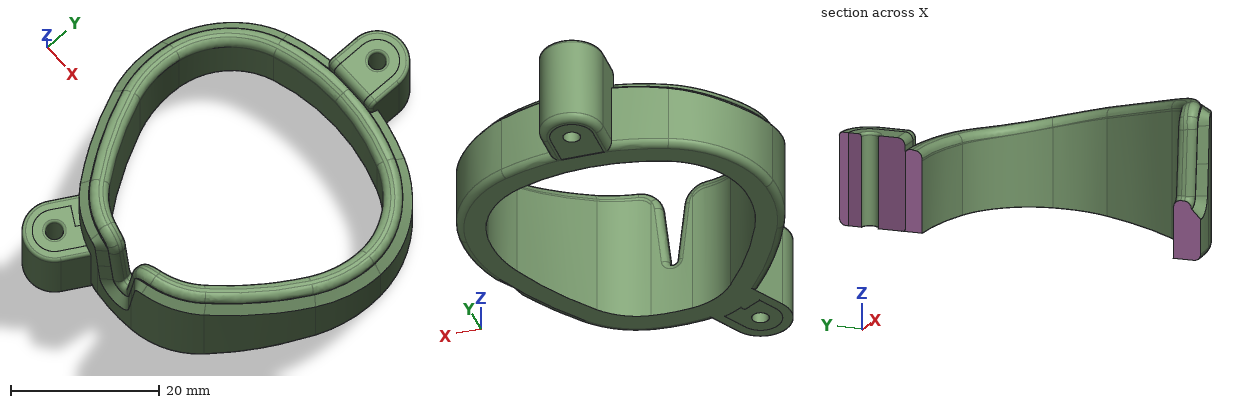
import cadquery as cq
import math

ring_back_y = 17.85
back_arc = (34.3, 20.2)
side_arcs = [
    (15.95, 64.7), (21.0, 28.7), (55.3, 15.9), (14.0, 43.7),
]
wall = 4.0
base_fillet = 1.0
tall = 40.0

rim_curve = [
    (22.0, 13.2), (17.4, 12.1), (14.3, 11.43), (10.5, 11.08), (4.3, 11.85),
    (-4.3, 14.2), (-13.0, 17.0), (-20.0, 19.55), (-28.0, 22.68),
]
bead_inset = 1.35
bead_fillet = 1.05
shoulder_drop = 1.18
shoulder_chamfer = 1.33

slot_bottom_z = 5.85
slot_radius = 2.95
slot_taper = math.radians(6.5)
slot_corner = 0.9
bead_slot_inset = bead_inset + bead_fillet
slot_tip_low = (-6, -30, 14)
slot_tip_high = (6, -18, 30)
touch_tolerance = 0.001

lug_radius = 4.4
lug_height = 13.1
lug_edge_fillet = 0.5
hole_diameter = 2.38
hole_fillet = 0.4
core_radius = 3.0

back_lug_y = 21.4
back_lug_length = 5.1
back_lug_end_fillet = 1.1

front_lug_x = -10.95
front_lug_y = -27.2
front_lug_angle = -30.0
front_lug_length = 5.5
front_core_length = 2.87


def ring_outline(inset=0.0):
    """Closed ring outline, moved inwards by inset."""
    back_radius, back_sweep = back_arc
    angle = math.radians(-back_sweep)
    centre_x = 0.0
    centre_y = ring_back_y - back_radius

    def point_at(direction, radius):
        return (centre_x + radius * math.sin(direction), centre_y + radius * math.cos(direction))

    loop = cq.Workplane("XY").moveTo(*point_at(angle, back_radius - inset))
    right_arcs = []
    previous_radius = back_radius
    for arc_radius, sweep in [(back_radius, 2 * back_sweep)] + side_arcs:
        centre_x += (previous_radius - arc_radius) * math.sin(angle)
        centre_y += (previous_radius - arc_radius) * math.cos(angle)
        middle_point = point_at(angle + math.radians(sweep) / 2, arc_radius - inset)
        angle += math.radians(sweep)
        end_point = point_at(angle, arc_radius - inset)
        loop = loop.threePointArc(middle_point, end_point)
        right_arcs.append((middle_point, end_point))
        previous_radius = arc_radius

    end_x, end_y = right_arcs[-1][1]
    front_radius = end_x / math.sin(angle)
    front_y = end_y - front_radius * (1 + math.cos(angle))
    loop = loop.threePointArc((0, front_y), (-end_x, end_y))

    for index in range(len(side_arcs), 0, -1):
        middle_x, middle_y = right_arcs[index][0]
        start_x, start_y = right_arcs[index - 1][1]
        loop = loop.threePointArc((-middle_x, middle_y), (-start_x, start_y))
    return loop.close()


def above_rim(drop):
    """Everything above the rim curve lowered by drop."""
    points = [(y, z - drop) for y, z in rim_curve]
    profile = (
        cq.Workplane("YZ").moveTo(*points[0]).spline(points[1:], includeCurrent=True)
        .lineTo(points[-1][0], tall).lineTo(points[0][0], tall).close()
    )
    return profile.extrude(tall, both=True)


def slot_cutter(inset):
    """Tapered slot through the front wall, narrowed on every side by inset."""
    radius = slot_radius - inset
    centre_z = slot_bottom_z + slot_radius
    tangent_x = radius * math.cos(slot_taper)
    tangent_z = centre_z - radius * math.sin(slot_taper)
    top_x = tangent_x + (tall - tangent_z) * math.tan(slot_taper)
    profile = (
        cq.Workplane("XZ").moveTo(-top_x, tall).lineTo(-tangent_x, tangent_z)
        .threePointArc((0, centre_z - radius), (tangent_x, tangent_z))
        .lineTo(top_x, tall).close()
    )
    return profile.extrude(tall)


def ring_layer(inset, drop, slot_inset):
    """Ring wall set back by inset, with its rim lowered by drop."""
    layer = ring_outline(inset).extrude(tall).cut(ring_outline(wall).extrude(tall))
    layer = layer.cut(above_rim(drop)).cut(slot_cutter(slot_inset))
    near_slot = cq.selectors.BoxSelector(slot_tip_low, slot_tip_high)
    tips = []
    for edge in layer.edges(near_slot).vals():
        box = edge.BoundingBox()
        if box.ylen > wall / 3 and box.ylen > box.xlen + box.zlen:
            tips.append(edge)
    return layer.newObject(tips).fillet(slot_corner + slot_inset)


def rim_edges(layer, inset):
    """Edges along the rim and the slot that lie on the wall face set back by inset."""
    wall_line = ring_outline(inset).wires().val()
    picked = []
    for edge in layer.edges().vals():
        samples = [edge.positionAt(share) for share in (0.1, 0.5, 0.9)]
        gaps = [wall_line.distance(cq.Vertex.makeVertex(p.x, p.y, 0)) for p in samples]
        clear_of_base = edge.BoundingBox().zmin > base_fillet
        if max(gaps) < touch_tolerance and clear_of_base:
            picked.append(edge)
    return layer.newObject(picked)


def make_ring():
    """Shoulder with a chamfered rim, topped by a rounded bead."""
    shoulder = ring_layer(0, shoulder_drop, bead_inset)
    shoulder = rim_edges(shoulder, 0).chamfer(shoulder_chamfer)
    shoulder = shoulder.faces("<Z").wires().item(0).edges().fillet(base_fillet)
    bead = ring_layer(bead_inset, 0, bead_slot_inset)
    bead_edges = rim_edges(bead, bead_inset).vals() + rim_edges(bead, wall).vals()
    bead = bead.newObject(bead_edges).fillet(bead_fillet)
    return shoulder.union(bead)


def stadium(radius, length, height):
    """Block with a round end around the origin and straight sides up to length along +Y."""
    profile = (
        cq.Workplane("XY").moveTo(-radius, length).lineTo(-radius, 0)
        .threePointArc((0, -radius), (radius, 0)).lineTo(radius, length).close()
    )
    return profile.extrude(height)


def drill(core):
    """Screw hole through a core, rounded at its mouth."""
    core = core.faces(">Z").workplane(origin=(0, 0, 0)).hole(hole_diameter)
    mouth = cq.selectors.RadiusNthSelector(0)
    return core.faces(">Z").edges(mouth).fillet(hole_fillet)


def place_back(body):
    """Turn a lug or core to point at the back of the ring."""
    return body.rotate((0, 0, 0), (0, 0, 1), 180).translate((0, back_lug_y, 0))


def place_front(body):
    """Turn a lug or core to point at the front left of the ring."""
    return body.rotate((0, 0, 0), (0, 0, 1), front_lug_angle).translate((front_lug_x, front_lug_y, 0))


def make_back_lug():
    """Lug rounded all over, with its flat end standing inside the ring wall."""
    lug = stadium(lug_radius, back_lug_length, lug_height)
    lug = lug.faces(">Z").edges(">Y").fillet(back_lug_end_fillet)
    lug = lug.faces("<Z").edges("not >Y").fillet(base_fillet)
    return lug.faces(">Y").edges("|Z").fillet(lug_edge_fillet)


def make_front_lug():
    """Lug with a square foot, running into the ring wall."""
    lug = stadium(lug_radius, front_lug_length, lug_height)
    return lug.faces(">Z").edges("not >Y").fillet(lug_edge_fillet)


def make_back_core(lug):
    """Core reaching through to the rounded end of the back lug."""
    return stadium(core_radius, back_lug_length, lug_height).intersect(lug)


def make_front_core():
    """Core whose left half stops short while its right half runs on towards the ring."""
    right_half = cq.Workplane("XY").rect(tall, 2 * tall).extrude(tall).translate((tall / 2, 0, 0))
    long_core = stadium(core_radius, front_lug_length, lug_height)
    return stadium(core_radius, front_core_length, lug_height).union(long_core.intersect(right_half))


back_lug = make_back_lug()
back_core_blank = make_back_core(back_lug)
front_core_blank = make_front_core()
ring_envelope = ring_outline().extrude(tall)

housing = make_ring().union(place_back(back_lug)).union(place_front(make_front_lug()))
housing = housing.cut(place_back(back_core_blank))
housing = housing.cut(place_front(front_core_blank).cut(ring_envelope))

back_core = place_back(drill(back_core_blank))
front_core = place_front(drill(front_core_blank)).cut(ring_envelope)

result = cq.Compound.makeCompound([housing.val(), back_core.val(), front_core.val()])